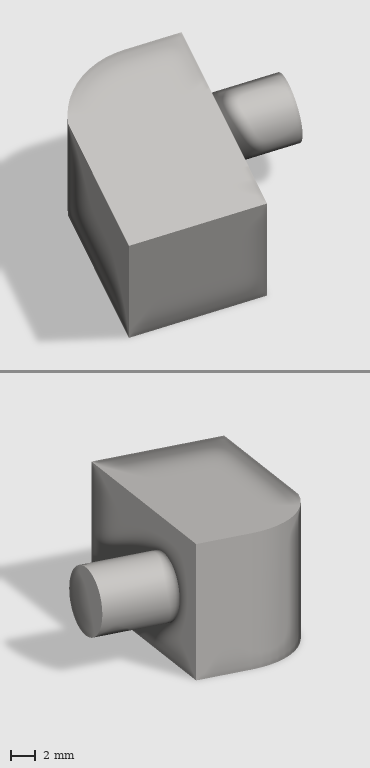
import cadquery as cq

overall_depth = 19.0
body_length = 19.0
body_side = 12.0
pin_diameter = 6.0
pin_center_x = 6.0
round_start_y = 7.0
round_end_x = 5.5

pin_length = overall_depth - body_side


def make_body():
    """Block whose front left corner is an arc tangent to the left face only."""
    return (
        cq.Workplane("XY")
        .moveTo(body_length, 0)
        .lineTo(body_length, body_side)
        .lineTo(0, body_side)
        .lineTo(0, round_start_y)
        .tangentArcPoint((round_end_x, 0), relative=False)
        .close()
        .extrude(body_side)
    )


def make_pin():
    """Round pin standing on the back face, at mid height."""
    back_face = cq.Workplane("XZ", origin=(pin_center_x, body_side, body_side / 2))
    return back_face.circle(pin_diameter / 2).extrude(-pin_length)


result = make_body().union(make_pin())